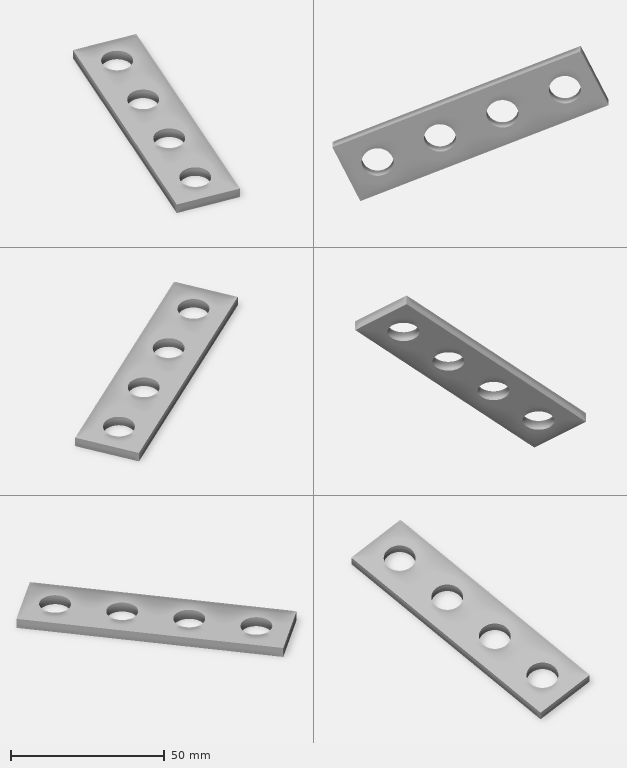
import cadquery as cq

length = 88.9
width = 22.35
thickness = 3.5

hole_diameter = 10.41
hole_count = 4
hole_pitch = width
first_hole_offset = 10.668


def make_plate():
    """Flat rectangular bar centred on X and Y, resting on Z = 0."""
    return cq.Workplane("XY").box(length, width, thickness, centered=(True, True, False))


def cut_holes(plate):
    """Drill the evenly spaced row of holes through the full thickness."""
    first_hole_x = first_hole_offset - length / 2
    centres = [(first_hole_x + i * hole_pitch, 0) for i in range(hole_count)]
    holes = cq.Workplane("XY").pushPoints(centres).circle(hole_diameter / 2).extrude(thickness)
    return plate.cut(holes)


result = cut_holes(make_plate())